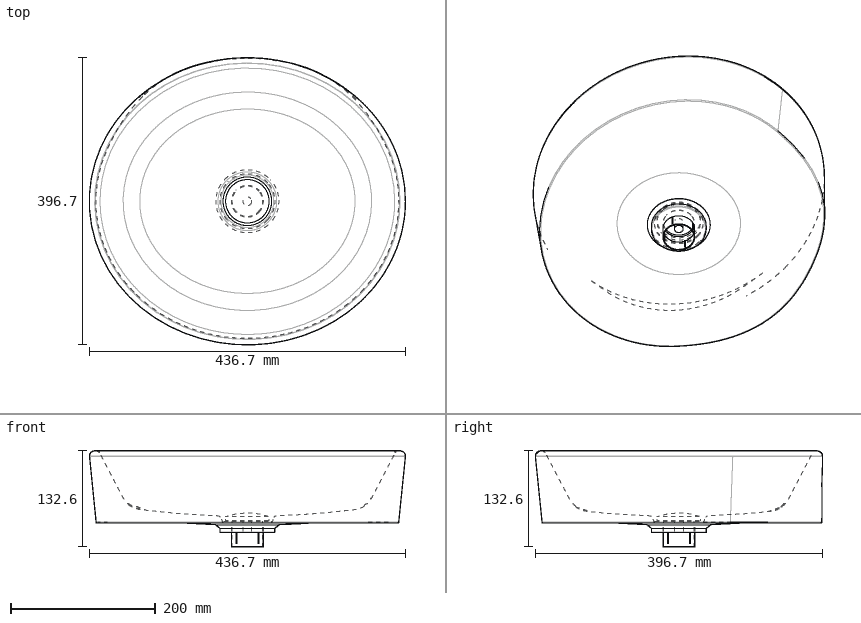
import cadquery as cq
import math


rim_half_x = 218.34
rim_half_y = 198.365
rim_height = 100.0
overall_height = 132.59
rim_band = 8.0
base_half_x = 209.0
base_half_y = 189.2
base_back_y = 197.4
back_start_angle = 22.0
base_round = 1.5
rim_round = 7.5

bowl_rim_half_x = 205.5
bowl_rim_half_y = 186.0
wall_run_per_depth = 0.52
floor_z = 9.5
floor_radius = 1200.0
bowl_corner_round = 30.0

floor_thickness = 12.5
bulge_radius = floor_radius + floor_thickness
bulge_bottom_z = floor_z - floor_thickness
boss_radius = 38.0
boss_flare_radius = 43.5
boss_flare_top_z = -2.7
boss_flare_bottom_z = -7.2
boss_bottom_z = -13.1
boss_round = 1.2

recess_top_radius = 37.5
recess_top_z = floor_z + floor_radius - math.sqrt(floor_radius**2 - recess_top_radius**2)
recess_floor_radius = 33.6
recess_floor_z = 0.0
recess_lip_round = 4.6

flange_thickness = 2.5
tube_radius = 44.0 / 2
tube_bore_radius = 42.0 / 2
tube_bottom_z = rim_height - overall_height
slot_count = 4
slot_first_angle = 45.0
slot_width = 1.0
slot_bottom_z = -28.0

plug_radius = 60.0 / 2
plug_edge_z = 9.0
plug_dome_height = 5.2
plug_edge_thickness = 5.5
stem_radius = 12.0 / 2
stem_bottom_z = boss_bottom_z


def oval_arc(half_x, half_y, z, start_angle=0.0, end_angle=360.0):
    return cq.Edge.makeEllipse(
        half_x, half_y, cq.Vector(0, 0, z), cq.Vector(0, 0, 1), cq.Vector(1, 0, 0), start_angle, end_angle)


def oval_wire(half_x, half_y, z):
    return cq.Wire.assembleEdges([oval_arc(half_x, half_y, z)])


def back_arc(half_x, half_y, z):
    return oval_arc(half_x, half_y, z, back_start_angle, 180 - back_start_angle)


def front_arc(half_x, half_y, z):
    """Rest of the oval, from the left end of the back arc round the front to its right end."""
    return oval_arc(half_x, half_y, z, 180 - back_start_angle, 360 + back_start_angle)


def base_wire():
    """Base oval whose back section bulges out to the upright back wall."""
    front = front_arc(base_half_x, base_half_y, 0)
    back = cq.Edge.makeSpline(
        [front.endPoint(), cq.Vector(0, base_back_y, 0), front.startPoint()],
        tangents=[front.tangentAt(1), front.tangentAt(0)])
    return cq.Wire.assembleEdges([front, back])


def band_wire(z):
    return cq.Wire.assembleEdges([front_arc(rim_half_x, rim_half_y, z), back_arc(rim_half_x, rim_half_y, z)])


def oval_loft(lower_wire, upper_wire):
    return cq.Workplane(cq.Solid.makeLoft([lower_wire, upper_wire], True))


def disc(radius, bottom_z, top_z):
    return cq.Workplane("XY", origin=(0, 0, bottom_z)).circle(radius).extrude(top_z - bottom_z)


def turned(points):
    """Solid of revolution about Z from (radius, z) corner points."""
    return cq.Workplane("XZ").polyline(points).close().revolve(360, (0, 0, 0), (0, 1, 0))


def make_outer_body():
    """Tapered wall below an upright band that carries the rounded rim."""
    band_bottom_z = rim_height - rim_band
    wall = oval_loft(base_wire(), band_wire(band_bottom_z))
    wall = wall.faces("<Z").edges().fillet(base_round)
    band = cq.Workplane("XY", origin=(0, 0, band_bottom_z)).ellipse(rim_half_x, rim_half_y).extrude(rim_band)
    return wall.union(band)


def make_bowl_space():
    inset = wall_run_per_depth * rim_height
    lower = oval_wire(bowl_rim_half_x - inset, bowl_rim_half_y - inset, 0)
    upper = oval_wire(bowl_rim_half_x, bowl_rim_half_y, rim_height)
    ball = cq.Workplane("XY", origin=(0, 0, floor_z + floor_radius)).sphere(floor_radius)
    space = oval_loft(lower, upper).intersect(ball)
    return space.faces("%SPHERE").edges().fillet(bowl_corner_round)


def make_bulge():
    """Spherical cap that shows below the flat base."""
    ball = cq.Workplane("XY", origin=(0, 0, bulge_bottom_z + bulge_radius)).sphere(bulge_radius)
    return ball.intersect(disc(base_half_y, bulge_bottom_z, 0))


def make_boss():
    boss = turned([
        (0, 0),
        (boss_flare_radius, 0),
        (boss_flare_radius, boss_flare_top_z),
        (boss_radius, boss_flare_bottom_z),
        (boss_radius, boss_bottom_z),
        (0, boss_bottom_z),
    ])
    return boss.faces("<Z").edges().fillet(boss_round)


def make_basin():
    basin = make_outer_body().cut(make_bowl_space())
    basin = basin.faces(">Z").edges().fillet(rim_round)
    basin = basin.union(make_bulge()).union(make_boss())
    recess = turned([
        (0, recess_floor_z),
        (recess_floor_radius, recess_floor_z),
        (recess_top_radius, recess_top_z),
        (0, recess_top_z),
    ])
    basin = basin.cut(recess)
    lip_edge = basin.edges(cq.selectors.NearestToPointSelector((0, 0, recess_top_z)))
    basin = lip_edge.fillet(recess_lip_round)
    return basin.cut(disc(tube_radius, boss_bottom_z, recess_floor_z))


def make_drain():
    flange = disc(recess_floor_radius, recess_floor_z, recess_floor_z + flange_thickness)
    tube = disc(tube_radius, tube_bottom_z, recess_floor_z)
    bore = disc(tube_bore_radius, tube_bottom_z, recess_floor_z + flange_thickness)
    drain = flange.union(tube).cut(bore)
    slot_height = boss_bottom_z - slot_bottom_z
    for index in range(slot_count):
        slot = (
            cq.Workplane("XY")
            .box(tube_radius, slot_width, slot_height, centered=(False, True, False))
            .translate((tube_bore_radius / 2, 0, slot_bottom_z))
            .rotate((0, 0, 0), (0, 0, 1), slot_first_angle + index * 360 / slot_count)
        )
        drain = drain.cut(slot)
    return drain


def make_plug():
    edge_bottom_z = plug_edge_z - plug_edge_thickness
    dome_radius = (plug_radius**2 + plug_dome_height**2) / (2 * plug_dome_height)
    cap = (
        cq.Workplane("XZ")
        .moveTo(0, edge_bottom_z)
        .lineTo(plug_radius, edge_bottom_z)
        .lineTo(plug_radius, plug_edge_z)
        .radiusArc((0, plug_edge_z + plug_dome_height), -dome_radius)
        .close()
        .revolve(360, (0, 0, 0), (0, 1, 0))
    )
    return cap.union(disc(stem_radius, stem_bottom_z, plug_edge_z))


basin = make_basin()
drain = make_drain()
plug = make_plug()
result = cq.Compound.makeCompound([basin.solids().val(), drain.solids().val(), plug.solids().val()])